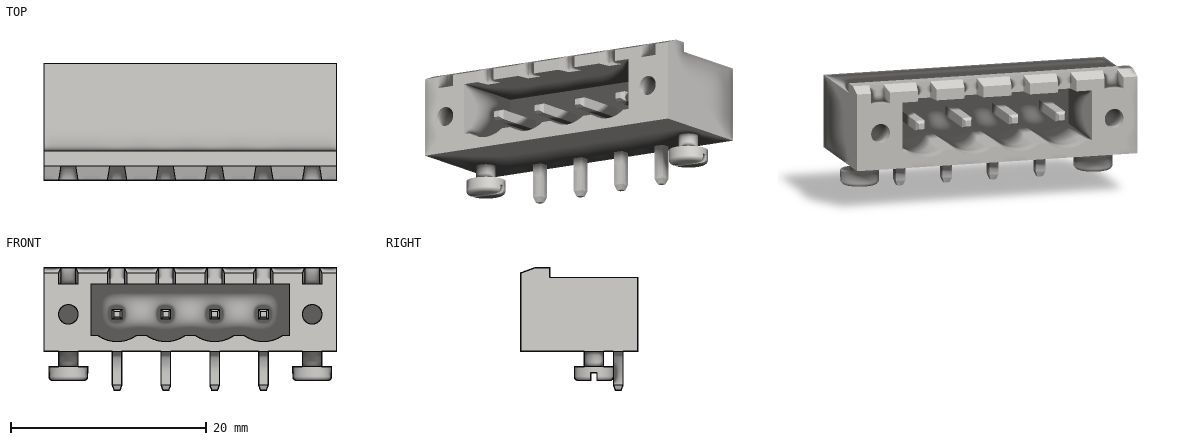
import cadquery as cq


pitch = 5.0
contact_count = 4
housing_width = 30.0
housing_depth = 12.0
body_height = 7.6
lip_height = 8.6
lip_depth = 3.0
lip_bevel_depth = 1.5
lip_bevel_drop = 0.55

cavity_width = 20.3
cavity_floor = 1.65
cavity_ceiling = 6.9
cavity_depth = 8.5
scallop_width = 4.0
scallop_drop = 0.65

notch_front_width = 2.0
notch_back_width = 1.5
notch_depth = lip_bevel_depth

pin_size = 1.0
pin_tip_size = 0.6
pin_tip_length = 0.55
pin_axis_height = 3.8
pin_leg_y = 10.0
pin_leg_drop = 4.0
pin_front_y = 2.0

flange_hole_diameter = 2.0
flange_hole_depth = 5.0
screw_y = 7.5
screw_shank_diameter = 2.0
screw_shank_length = 1.55
screw_head_diameter = 4.0
screw_head_height = 1.45
screw_head_fillet = 0.4
screw_slot_width = 0.6
screw_slot_depth = 0.8
screw_embed = 1.0

contact_xs = [(i - (contact_count - 1) / 2) * pitch for i in range(contact_count)]
flange_xs = [contact_xs[0] - pitch, contact_xs[-1] + pitch]


def make_housing():
    """Block with a raised, bevelled lip along the top front edge."""
    profile = [
        (0, 0),
        (housing_depth, 0),
        (housing_depth, body_height),
        (lip_depth, body_height),
        (lip_depth, lip_height),
        (lip_bevel_depth, lip_height),
        (0, lip_height - lip_bevel_drop),
    ]
    return cq.Workplane("YZ").polyline(profile).close().extrude(housing_width / 2, both=True)


def make_cavity():
    """Volume of the plug cavity, open at the front face."""
    half_width = cavity_width / 2
    outline = cq.Workplane("XZ").moveTo(-half_width, cavity_ceiling).lineTo(-half_width, cavity_floor)
    for x in contact_xs:
        outline = outline.lineTo(x - scallop_width / 2, cavity_floor).threePointArc(
            (x, cavity_floor - scallop_drop), (x + scallop_width / 2, cavity_floor)
        )
    outline = outline.lineTo(half_width, cavity_floor).lineTo(half_width, cavity_ceiling).close()
    return outline.extrude(-cavity_depth)


def make_notch(x):
    """Volume of one coding notch, cut down through the lip to the cavity ceiling."""
    plan = [
        (x - notch_front_width / 2, 0),
        (x + notch_front_width / 2, 0),
        (x + notch_back_width / 2, notch_depth),
        (x - notch_back_width / 2, notch_depth),
    ]
    floor = cq.Workplane("XY").workplane(offset=cavity_ceiling)
    return floor.polyline(plan).close().extrude(lip_height - cavity_ceiling)


def make_bar(start, direction, length):
    """Square bar with a tapered tip at its far end."""
    plane = cq.Plane(origin=start, xDir=(1, 0, 0), normal=direction)
    shaft_length = length - pin_tip_length
    shaft = cq.Workplane(plane).rect(pin_size, pin_size).extrude(shaft_length)
    tip = (
        cq.Workplane(plane)
        .workplane(offset=shaft_length)
        .rect(pin_size, pin_size)
        .workplane(offset=pin_tip_length)
        .rect(pin_tip_size, pin_tip_size)
        .loft()
    )
    return shaft.union(tip)


def make_contact(x):
    """Bent pin: one arm reaching into the cavity, one leg below the housing."""
    bend = (x, pin_leg_y, pin_axis_height)
    arm = make_bar(bend, (0, -1, 0), pin_leg_y - pin_front_y)
    leg = make_bar(bend, (0, 0, -1), pin_axis_height + pin_leg_drop)
    return arm.union(leg)


def make_flange_hole(x):
    """Blind hole volume entering the front face."""
    plane = cq.Workplane("XZ").center(x, pin_axis_height)
    return plane.circle(flange_hole_diameter / 2).extrude(-flange_hole_depth)


def make_screw(x):
    """Slotted screw below the housing, its shank embedded in the body."""
    shank = (
        cq.Workplane("XY", origin=(x, screw_y, screw_embed))
        .circle(screw_shank_diameter / 2)
        .extrude(-(screw_embed + screw_shank_length))
    )
    head = (
        cq.Workplane("XY", origin=(x, screw_y, -screw_shank_length))
        .circle(screw_head_diameter / 2)
        .extrude(-screw_head_height)
        .faces("<Z")
        .edges()
        .fillet(screw_head_fillet)
    )
    head_bottom = -(screw_shank_length + screw_head_height)
    slot = (
        cq.Workplane("XY", origin=(x, screw_y, head_bottom))
        .rect(screw_head_diameter, screw_slot_width)
        .extrude(screw_slot_depth)
    )
    return shank.union(head.cut(slot))


result = make_housing().cut(make_cavity())
for x in contact_xs + flange_xs:
    result = result.cut(make_notch(x))
for x in contact_xs:
    result = result.union(make_contact(x))
for x in flange_xs:
    result = result.cut(make_flange_hole(x)).union(make_screw(x))